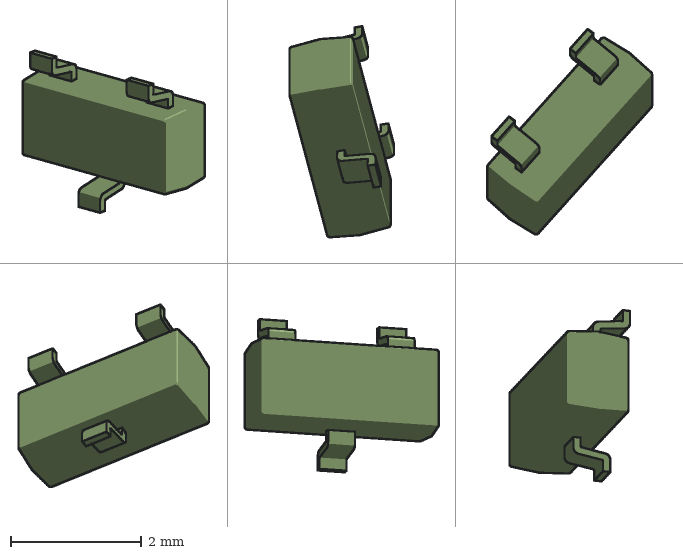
import cadquery as cq
import math

LENGTH = 2.9
HEIGHT = 1.3
DEPTH = 1.0
DRAFT_ANGLE = 4.0
EDGE_RADIUS = 0.05

LEAD_THICKNESS = 0.12
LEAD_WIDTH = 0.43
LEAD_PITCH = 1.902
SLOPE_ANGLE = 8.0
OUTER_BEND_RADIUS = 0.095
INNER_BEND_RADIUS = 0.02
TIP_TO_TIP = 2.3
OVERALL_DEPTH = 1.1
KNEE_Z = 0.902

HALF_DEPTH = DEPTH / 2
FOOT_DROP = OVERALL_DEPTH - HALF_DEPTH
HOUSING_TOP = HEIGHT / 2
TIP_Z = TIP_TO_TIP / 2


def make_half_housing(direction):
    """Tapered half of the housing, on the side given by direction along Y (1 or -1)."""
    plane = cq.Plane(origin=(0, 0, 0), xDir=(1, 0, 0), normal=(0, direction, 0))
    return cq.Workplane(plane).rect(LENGTH, HEIGHT).extrude(HALF_DEPTH, taper=DRAFT_ANGLE)


def make_housing():
    """Two tapered halves, each with all edges rounded except those on the parting plane."""
    parting_edges = cq.selectors.BoxSelector(
        (-LENGTH, -EDGE_RADIUS, -HEIGHT), (LENGTH, EDGE_RADIUS, HEIGHT)
    )
    block = make_half_housing(1).union(make_half_housing(-1))
    return block.edges(-parting_edges).fillet(EDGE_RADIUS)


def make_lead(x_centre):
    """Lead on the upper side, seated against the drafted housing face."""
    slope = math.tan(math.radians(SLOPE_ANGLE))
    slope_thickness = LEAD_THICKNESS / math.cos(math.radians(SLOPE_ANGLE))
    seat_drop = LEAD_THICKNESS * math.tan(math.radians(DRAFT_ANGLE))
    foot_top = FOOT_DROP - LEAD_THICKNESS

    root_outer = (0, KNEE_Z)
    root_inner = (-LEAD_THICKNESS, KNEE_Z + LEAD_THICKNESS * slope - slope_thickness)
    foot_inner = (-foot_top, KNEE_Z + foot_top * slope)
    foot_outer = (-FOOT_DROP, KNEE_Z + FOOT_DROP * slope - slope_thickness)
    profile = [
        (0, HOUSING_TOP),
        root_outer,
        foot_inner,
        (-foot_top, TIP_Z),
        (-FOOT_DROP, TIP_Z),
        foot_outer,
        root_inner,
        (-LEAD_THICKNESS, HOUSING_TOP - seat_drop),
    ]
    lead = (
        cq.Workplane("YZ", origin=(x_centre, 0, 0))
        .polyline(profile)
        .close()
        .extrude(LEAD_WIDTH / 2, both=True)
    )
    for corners, radius in (
        ((root_outer, foot_outer), OUTER_BEND_RADIUS),
        ((root_inner, foot_inner), INNER_BEND_RADIUS),
    ):
        for y, z in corners:
            bend_edge = cq.selectors.NearestToPointSelector((x_centre, y, z))
            lead = lead.edges("|X").edges(bend_edge).fillet(radius)
    return lead


housing = make_housing()
upper_leads = [make_lead(x) for x in (-LEAD_PITCH / 2, LEAD_PITCH / 2)]
lower_lead = make_lead(0).mirror("XY")

result = cq.Compound.makeCompound(
    [housing.val(), *[lead.val() for lead in upper_leads], lower_lead.val()]
)